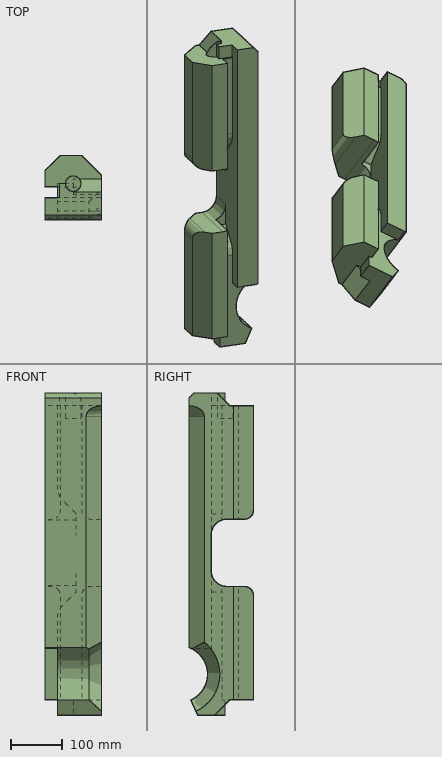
import cadquery as cq
import math

WIDTH = 110.0
DEPTH = 125.5
LENGTH = 626.0

BAR_DEPTH = 43.5
BAR_BOTTOM = 130.0
BAR_TOP_CHAMFER = 10.0

PAD_BOTTOM = 30.0
PAD_LENGTH = 220.5
PAD_TOP = 601.0
PAD_MID_Z = (PAD_BOTTOM + PAD_TOP) / 2
GAP_HALF = PAD_MID_Z - PAD_BOTTOM - PAD_LENGTH
PAD_FRONT = 64.0
PAD_CORNER_RADIUS = 18.0
GAP_ROOT_RADIUS = 30.0
LEFT_BEVEL_X = 30.0
LEFT_BEVEL_Y = 29.5
RIGHT_BEVEL = 38.5

WEB_X = 24.0
WALL_BEND_OFFSET = 127.0
WALL_BEND_RADIUS = 35.0
WALL_BEND_ANGLE = math.radians(45)
WALL_SLOPE_HEIGHT = 26.5

TAB_DEPTH = 70.5
TOP_TAB_X = 28.0
GUSSET_X = 55.0
GUSSET_DEPTH = 79.5
HOLE_RADIUS = 15.0
HOLE_FLOOR_DEPTH = 25.0

SADDLE_Z = 80.0
SADDLE_APEX_Y = 36.0
SADDLE_RADIUS = 55.0
SADDLE_Y = SADDLE_APEX_Y - SADDLE_RADIUS
FLARE = 24.0
TOE_Y = 17.0
TOE_HEIGHT = 31.0
TOE_TIP_Y = 3.0

EDGE_BEVEL = 30.0
BEVEL_END_RADIUS = EDGE_BEVEL / math.sqrt(2)
BEVEL_TOP = 601.0


def block(x0, x1, y0, y1, z0, z1):
    return cq.Workplane("XY").box(x1 - x0, y1 - y0, z1 - z0, centered=False).translate((x0, y0, z0))


def extrude_along_x(profile, x0, x1):
    """Extrude a closed (y, z) profile from x0 to x1."""
    return profile.extrude(x1 - x0).translate((x0, 0, 0))


def mirrored_about_pads(shape):
    """The same shape reflected in the plane midway between the pads."""
    return shape.mirror("XY", (0, 0, PAD_MID_Z))


def make_bar():
    bar = block(0, WIDTH, 0, BAR_DEPTH, BAR_BOTTOM, LENGTH)
    return bar.faces("<Y").edges(">Z").chamfer(BAR_TOP_CHAMFER)


def make_pads():
    section = (
        cq.Workplane("XY")
        .moveTo(0, PAD_FRONT)
        .lineTo(WIDTH, PAD_FRONT)
        .lineTo(WIDTH, DEPTH - RIGHT_BEVEL)
        .lineTo(WIDTH - RIGHT_BEVEL, DEPTH)
        .lineTo(LEFT_BEVEL_X, DEPTH)
        .lineTo(0, DEPTH - LEFT_BEVEL_Y)
        .close()
    )
    return section.extrude(PAD_TOP - PAD_BOTTOM).translate((0, 0, PAD_BOTTOM))


def make_web():
    """Web from the front face to the tab back, its -X wall set back at mid length."""
    bend_run = WALL_BEND_RADIUS * (1 - math.cos(WALL_BEND_ANGLE))
    bend_rise = WALL_BEND_RADIUS * math.sin(WALL_BEND_ANGLE)
    mid_run = WALL_BEND_RADIUS * (1 - math.cos(WALL_BEND_ANGLE / 2))
    mid_rise = WALL_BEND_RADIUS * math.sin(WALL_BEND_ANGLE / 2)
    inner_x = WEB_X + bend_run + WALL_SLOPE_HEIGHT * math.tan(WALL_BEND_ANGLE)
    bend_low = PAD_MID_Z - WALL_BEND_OFFSET
    bend_high = PAD_MID_Z + WALL_BEND_OFFSET
    slope_low = bend_low + bend_rise
    slope_high = bend_high - bend_rise
    outline = (
        cq.Workplane("XZ")
        .moveTo(WEB_X, 0)
        .lineTo(WEB_X, bend_low)
        .threePointArc((WEB_X + mid_run, bend_low + mid_rise), (WEB_X + bend_run, slope_low))
        .lineTo(inner_x, slope_low + WALL_SLOPE_HEIGHT)
        .lineTo(inner_x, slope_high - WALL_SLOPE_HEIGHT)
        .lineTo(WEB_X + bend_run, slope_high)
        .threePointArc((WEB_X + mid_run, bend_high - mid_rise), (WEB_X, bend_high))
        .lineTo(WEB_X, PAD_TOP)
        .lineTo(WIDTH, PAD_TOP)
        .lineTo(WIDTH, 0)
        .close()
    )
    return outline.extrude(-TAB_DEPTH)


def make_gusset(base_z, end_z):
    """Wedge sloping at 45 degrees from a pad end towards the end of the part."""
    rise = abs(end_z - base_z)
    profile = (
        cq.Workplane("YZ")
        .moveTo(BAR_DEPTH, base_z)
        .lineTo(GUSSET_DEPTH, base_z)
        .lineTo(GUSSET_DEPTH - rise, end_z)
        .lineTo(BAR_DEPTH, end_z)
        .close()
    )
    return extrude_along_x(profile, GUSSET_X, WIDTH)


def make_top_tab():
    plain_half = block(TOP_TAB_X, GUSSET_X, BAR_DEPTH, TAB_DEPTH, PAD_TOP, LENGTH)
    return plain_half.union(make_gusset(PAD_TOP, LENGTH))


def make_bottom_tab_cut():
    """Stock removed so that the +X half of the lower tab follows the gusset slope."""
    stock = block(GUSSET_X, WIDTH, BAR_DEPTH, TAB_DEPTH, 0, PAD_BOTTOM)
    return stock.cut(make_gusset(PAD_BOTTOM, 0))


def make_gap():
    """Opening between the pads with rounded roots and rounded pad corners."""
    root_y = BAR_DEPTH + GAP_ROOT_RADIUS
    corner_y = DEPTH - PAD_CORNER_RADIUS
    diagonal = math.sqrt(0.5)
    root_bulge = GAP_ROOT_RADIUS * (1 - diagonal)
    corner_bulge = PAD_CORNER_RADIUS * (1 - diagonal)
    half_gap = (
        cq.Workplane("YZ")
        .moveTo(BAR_DEPTH, PAD_MID_Z)
        .lineTo(BAR_DEPTH, PAD_MID_Z + GAP_HALF - GAP_ROOT_RADIUS)
        .threePointArc(
            (BAR_DEPTH + root_bulge, PAD_MID_Z + GAP_HALF - root_bulge),
            (root_y, PAD_MID_Z + GAP_HALF),
        )
        .lineTo(corner_y, PAD_MID_Z + GAP_HALF)
        .threePointArc(
            (DEPTH - corner_bulge, PAD_MID_Z + GAP_HALF + corner_bulge),
            (DEPTH, PAD_MID_Z + GAP_HALF + PAD_CORNER_RADIUS),
        )
        .lineTo(DEPTH, PAD_MID_Z)
        .close()
    )
    upper = extrude_along_x(half_gap, 0, WIDTH)
    return upper.union(mirrored_about_pads(upper))


def make_saddle():
    cylinder = cq.Workplane("YZ").center(SADDLE_Y, SADDLE_Z).circle(SADDLE_RADIUS).extrude(WIDTH)
    cone = cq.Solid.makeCone(
        SADDLE_RADIUS,
        SADDLE_RADIUS + FLARE,
        FLARE,
        cq.Vector(WIDTH - FLARE, SADDLE_Y, SADDLE_Z),
        cq.Vector(1, 0, 0),
    )
    return cylinder.union(cq.Workplane(obj=cone))


def make_toe_cut():
    """Slanted front of the toe below the saddle."""
    profile = (
        cq.Workplane("YZ")
        .moveTo(0, 0)
        .lineTo(TOE_Y, 0)
        .lineTo(TOE_TIP_Y, TOE_HEIGHT)
        .lineTo(0, TOE_HEIGHT)
        .close()
    )
    return extrude_along_x(profile, 0, WIDTH)


def make_edge_bevel():
    """Bevel on the front +X edge, run out by a cylinder lying square to that edge."""
    round_z = BEVEL_TOP - BEVEL_END_RADIUS
    prism = (
        cq.Workplane("XY", origin=(0, 0, SADDLE_Z))
        .moveTo(WIDTH - EDGE_BEVEL, 0)
        .lineTo(WIDTH, 0)
        .lineTo(WIDTH, EDGE_BEVEL)
        .close()
        .extrude(round_z - SADDLE_Z)
    )
    end_round = cq.Solid.makeCylinder(
        BEVEL_END_RADIUS,
        2 * WIDTH,
        cq.Vector(0, -WIDTH, round_z),
        cq.Vector(1, 1, 0),
    )
    return prism.union(cq.Workplane(obj=end_round))


def make_hole():
    floor_z = PAD_TOP - HOLE_FLOOR_DEPTH
    return (
        cq.Workplane("XY", origin=(GUSSET_X, TAB_DEPTH, floor_z))
        .circle(HOLE_RADIUS)
        .extrude(LENGTH - floor_z)
    )


result = (
    make_bar()
    .union(make_web())
    .union(make_pads())
    .union(make_top_tab())
    .union(make_gusset(PAD_BOTTOM, 0))
    .cut(make_bottom_tab_cut())
    .cut(make_gap())
    .cut(make_saddle())
    .cut(make_toe_cut())
    .cut(make_edge_bevel())
    .cut(make_hole())
)